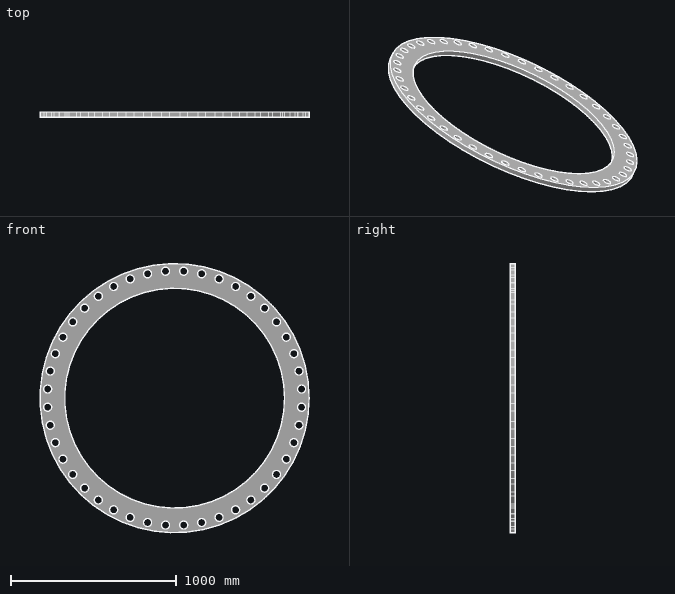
import cadquery as cq

outer_diameter = 1625.0
inner_diameter = 1325.0
thickness = 33.0

hole_count = 44
hole_diameter = 47.0
bolt_circle_diameter = 1536.0
hole_pitch_angle = 360.0 / hole_count


def face_plane():
    """Workplane on the +Y face, extruding toward -Y."""
    return cq.Workplane("XZ").workplane(offset=-thickness / 2)


def make_ring():
    """Plain annular plate centred on the origin."""
    return (
        face_plane()
        .circle(outer_diameter / 2)
        .circle(inner_diameter / 2)
        .extrude(thickness)
    )


def make_bolt_holes():
    """Cylinders for the through holes, offset half a pitch from the X axis."""
    return (
        face_plane()
        .polarArray(bolt_circle_diameter / 2, hole_pitch_angle / 2, 360, hole_count)
        .circle(hole_diameter / 2)
        .extrude(thickness)
    )


result = make_ring().cut(make_bolt_holes())